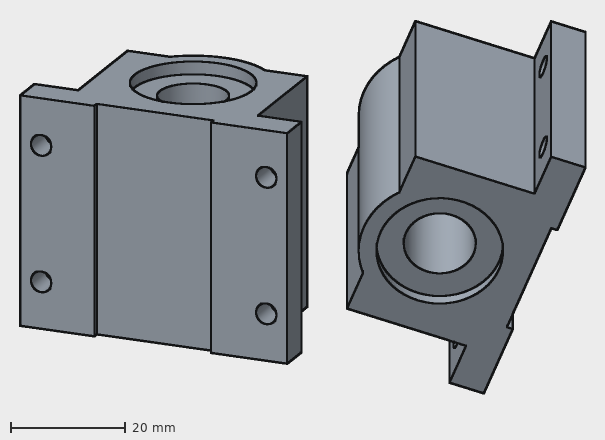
import cadquery as cq
import math

flange_width = 50.8
flange_thickness = 6.45
length = 42.95

body_width = 34.2
shoulder_height = 28.75
crown_height = 32.0
bore_height = 17.8
crown_radius = crown_height - bore_height
crown_half_chord = math.sqrt(crown_radius**2 - (shoulder_height - bore_height) ** 2)

bore_diameter = 12.65
seat_diameter = 22.2
seat_depth = 2.4

channel_width = 22.2
channel_depth = 1.1
channel_offset = -0.2

hole_diameter = 3.85
hole_spacing_x = 42.8
hole_spacing_z = 25.4


def cylinder_along_z(diameter, bottom, height):
    """Cylinder on the bore axis."""
    return (
        cq.Workplane("XY", origin=(0, bore_height, bottom))
        .circle(diameter / 2)
        .extrude(height)
    )


def make_housing():
    """Flange and housing as one profile, with a round crown over the bore."""
    return (
        cq.Workplane("XY")
        .moveTo(-flange_width / 2, 0)
        .lineTo(flange_width / 2, 0)
        .lineTo(flange_width / 2, flange_thickness)
        .lineTo(body_width / 2, flange_thickness)
        .lineTo(body_width / 2, shoulder_height)
        .lineTo(crown_half_chord, shoulder_height)
        .threePointArc((0, crown_height), (-crown_half_chord, shoulder_height))
        .lineTo(-body_width / 2, shoulder_height)
        .lineTo(-body_width / 2, flange_thickness)
        .lineTo(-flange_width / 2, flange_thickness)
        .close()
        .extrude(length)
    )


def make_channel():
    """Shallow channel running the full length of the mounting face."""
    return (
        cq.Workplane("XY")
        .center(channel_offset, channel_depth / 2)
        .rect(channel_width, channel_depth)
        .extrude(length)
    )


def make_mounting_holes():
    """Four holes through the flange thickness."""
    return (
        cq.Workplane("XZ", origin=(0, 0, length / 2))
        .rect(hole_spacing_x, hole_spacing_z, forConstruction=True)
        .vertices()
        .circle(hole_diameter / 2)
        .extrude(-flange_thickness)
    )


result = make_housing().cut(make_channel()).cut(make_mounting_holes())
result = result.cut(cylinder_along_z(bore_diameter, 0, length))
for seat_bottom in (0, length - seat_depth):
    result = result.cut(cylinder_along_z(seat_diameter, seat_bottom, seat_depth))